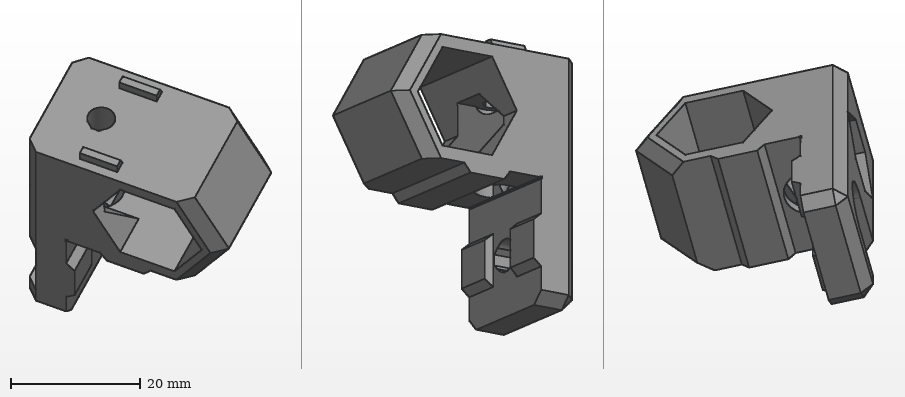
import cadquery as cq
import math

length_x = 33.75
width = 20.0
height = 41.6
chamfer = 1.95

tab_height = 1.5
head_height = width
head_top = height - tab_height
head_bottom = head_top - head_height
head_mid = (head_top + head_bottom) / 2
leg_thickness = 7.07
nose_depth = head_height / 2 * math.tan(math.radians(30))
nose_start = length_x - nose_depth

hex_x = 20.8
hex_radius = 9.2
bore_floor = head_mid - hex_radius * math.sin(math.radians(60))

window_width = 16.0
window_flat = 5.95
window_height = 12.02
window_mid = bore_floor + window_height / 2

ridge_height = 1.4
ridge_base = 8.55
ridge_flat = 6.25
ridge_offset = width / 2
relief_size = 0.35

tab_x = 8.7
tab_length = 6.32
tab_base = 2.05
tab_slope = 0.75
tab_outer_y = 8.53
tab_pitch = 14.98

leg_hole_z = 10.0
leg_hole_radius = 2.65
leg_lobe_side = 2.45
leg_lobe_tip = 3.85
leg_lobe_end = 3.0
recess_radius = 5.25
recess_depth = chamfer

top_hole_x = 8.53
top_hole_radius = 2.15
top_lobe_side = 2.1
top_lobe_tip = 2.95
top_lobe_end = 2.35
clearance_radius = 3.58
seat_radius = 2.35


def prism_along_y(points):
    """Extrude an XZ outline over the full width."""
    return cq.Workplane("XZ").polyline(points).close().extrude(width / 2, both=True)


def make_body():
    """Leg and head in one profile, bevelled at the back, the foot and the nose."""
    body = prism_along_y([
        (0, 0),
        (leg_thickness, 0),
        (leg_thickness, head_bottom),
        (nose_start, head_bottom),
        (length_x, head_mid),
        (nose_start, head_top),
        (0, head_top),
    ])
    bevelled_edges = body.faces("<X").edges("|Z")
    bevelled_edges = bevelled_edges.add(body.faces("<Z").edges("not >X"))
    nose_middle = length_x - nose_depth / 2
    for side in (-1, 1):
        for level in (-1, 1):
            point = (nose_middle, side * width / 2, head_mid + level * head_height / 4)
            nose_edge = body.edges(cq.selectors.NearestToPointSelector(point))
            bevelled_edges = bevelled_edges.add(nose_edge)
    return bevelled_edges.chamfer(chamfer)


def make_ridge(centre):
    """Trapezoidal ridge hanging below Z = 0, running along Y."""
    return prism_along_y([
        (centre - ridge_base / 2, 0),
        (centre - ridge_flat / 2, -ridge_height),
        (centre + ridge_flat / 2, -ridge_height),
        (centre + ridge_base / 2, 0),
    ])


def make_tab(outer_y):
    """Tab on the top face with a sloping +Y side."""
    profile = [
        (outer_y, head_top),
        (outer_y - tab_slope, height),
        (outer_y - tab_base, height),
        (outer_y - tab_base, head_top),
    ]
    return cq.Workplane("YZ", origin=(tab_x, 0, 0)).polyline(profile).close().extrude(tab_length)


def make_hex_bore():
    """Hexagonal bore through the head from side to side."""
    corners = [
        (
            hex_x + hex_radius * math.cos(math.radians(60 * i)),
            head_mid + hex_radius * math.sin(math.radians(60 * i)),
        )
        for i in range(6)
    ]
    return prism_along_y(corners)


def make_window():
    """Flattened hexagon from the back face into the large bore."""
    half_height = window_height / 2
    profile = [
        (-window_width / 2, 0),
        (-window_flat / 2, -half_height),
        (window_flat / 2, -half_height),
        (window_width / 2, 0),
        (window_flat / 2, half_height),
        (-window_flat / 2, half_height),
    ]
    plane = cq.Workplane("YZ", origin=(0, 0, window_mid))
    return plane.polyline(profile).close().extrude(hex_x)


def lobed_hole(radius, lobe_side, lobe_tip, lobe_end, depth):
    """Round hole along +Z with a square corner towards -Y, cut off flat."""
    half_diagonal = lobe_side / math.sqrt(2)
    flat_half = lobe_tip - lobe_end
    lobe_centre = half_diagonal - lobe_tip
    lobe = [
        (-flat_half, -lobe_end),
        (flat_half, -lobe_end),
        (half_diagonal, lobe_centre),
        (0, lobe_centre + half_diagonal),
        (-half_diagonal, lobe_centre),
    ]
    hole = cq.Workplane("XY").circle(radius).extrude(depth)
    return hole.union(cq.Workplane("XY").polyline(lobe).close().extrude(depth))


def make_leg_hole():
    """Lobed hole along X through the leg and its ridge."""
    depth = leg_thickness + ridge_height
    hole = lobed_hole(leg_hole_radius, leg_lobe_side, leg_lobe_tip, leg_lobe_end, depth)
    return hole.rotate((0, 0, 0), (0, 1, 0), 90).translate((0, 0, leg_hole_z))


def make_recess():
    """Round-ended slot in the back face that runs out through the -Y side."""
    plane = cq.Workplane("YZ", origin=(0, 0, leg_hole_z))
    round_end = plane.circle(recess_radius).extrude(recess_depth)
    slot = plane.center(-width / 4, 0).rect(width / 2, 2 * recess_radius).extrude(recess_depth)
    return round_end.union(slot)


def make_top_hole():
    """Lobed hole in the top wall, with a clearance bore from the window ceiling down to the foot."""
    ceiling = bore_floor + window_height
    hole = lobed_hole(
        top_hole_radius, top_lobe_side, top_lobe_tip, top_lobe_end, head_top - window_mid
    ).translate((top_hole_x, 0, window_mid))
    clearance = (
        cq.Workplane("XY", origin=(top_hole_x, 0, 0))
        .circle(clearance_radius)
        .extrude(ceiling)
    )
    leg_shelf = cq.Workplane("XY").box(
        leg_thickness, width, bore_floor, centered=(False, True, False)
    )
    return hole.union(clearance.cut(leg_shelf))


def make_seat():
    """Cone sunk in the shelf on the leg, running out at the leg's inner face."""
    end_radius = top_hole_x - leg_thickness
    return cq.Workplane("XZ").polyline([
        (0, head_bottom),
        (end_radius, head_bottom),
        (seat_radius, bore_floor),
        (0, bore_floor),
    ]).close().revolve(360, (0, 0), (0, 1)).translate((top_hole_x, 0, 0))


result = make_body()

head_ridge = make_ridge(leg_thickness + ridge_offset).translate((0, 0, head_bottom))
leg_ridge = (
    make_ridge(ridge_offset)
    .rotate((0, 0, 0), (0, 1, 0), -90)
    .translate((leg_thickness, 0, 0))
)
result = result.union(head_ridge).union(leg_ridge)

for outer_y in (tab_outer_y, tab_outer_y - tab_pitch):
    result = result.union(make_tab(outer_y))

corner_relief = (
    cq.Workplane("XY").box(relief_size, width, relief_size)
    .translate((leg_thickness, 0, head_bottom))
)
result = result.cut(corner_relief)

result = result.cut(make_hex_bore()).cut(make_window())
result = result.cut(make_recess()).cut(make_leg_hole())
result = result.cut(make_top_hole()).cut(make_seat())